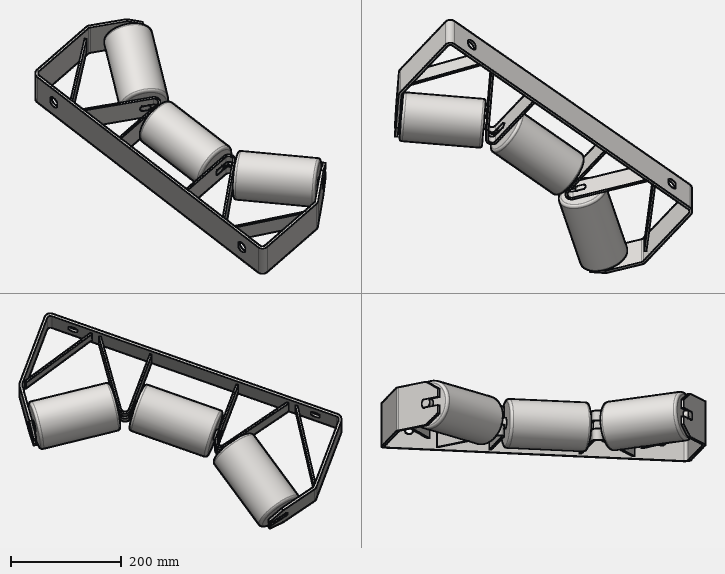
import cadquery as cq
import math

frame_width = 570.0
strap_height = 80.0
strap_thickness = 5.0
strap_bend_radius = 11.5
trough_angle = 35.0
arm_corner_y = 145.0
arm_length = 101.5
arm_chamfer_along = 29.5
arm_chamfer_height = 17.0
mount_hole_spacing = 465.5
mount_hole_length = 26.0
mount_hole_width = 17.0

plate_thickness = 4.0
bracket_bottom = 4.5
bracket_height = 54.0
bracket_leg_x = 81.0
bracket_bend_radius = 11.5
bracket_bend_y = 115.0
weld_depth = 1.0
slot_reach = 28.5
brace_height = 40.0
brace_angle = 32.6
brace_length = 150.5
brace_top_x = 277.5
brace_top_y = 131.5

roller_diameter = 89.0
roller_length = 150.0
roller_edge_radius = 5.0
spindle_diameter = 20.0
spindle_flats = 15.0
spindle_slot_width = 15.5
shoulder_gap = 0.5
middle_roller_y = 100.0
inner_axis_z = 33.0
arm_axis_from_end = 29.5

half_width = frame_width / 2
mid_height = strap_height / 2
half_bend_tangent = math.tan(math.radians(trough_angle / 2))
sine = math.sin(math.radians(trough_angle))
cosine = math.cos(math.radians(trough_angle))
x_direction = cq.Vector(1, 0, 0)
y_direction = cq.Vector(0, 1, 0)
z_direction = cq.Vector(0, 0, 1)
arm_up = cq.Vector(sine, cosine, 0)
arm_inward = cq.Vector(cosine, -sine, 0)
arm_corner = cq.Vector(-half_width, arm_corner_y, 0)
arm_end = arm_corner + arm_up * arm_length
bend_centre = cq.Vector(-bracket_leg_x - bracket_bend_radius, bracket_bend_y, 0)
slant_top = bend_centre - arm_inward * bracket_bend_radius

outer_seat = arm_end - arm_up * arm_axis_from_end + z_direction * mid_height
seat_distance = (slant_top - outer_seat).dot(arm_inward)
inner_point = outer_seat + arm_inward * seat_distance
inner_seat = cq.Vector(inner_point.x, inner_point.y, inner_axis_z)
middle_seat = cq.Vector(-bracket_leg_x, middle_roller_y, inner_axis_z)
middle_far_seat = cq.Vector(bracket_leg_x, middle_roller_y, inner_axis_z)


def flat_point(vector):
    """The X and Y of a vector, for outlines drawn in the XY plane."""
    return (vector.x, vector.y)


def mirrored_pair(left):
    """The -X side shape together with its mirror image across X = 0."""
    return left.union(left.mirror("YZ"))


def make_slot(seat, inward, up, reach):
    """Cutter for a spindle slot: rounded below the spindle, open along `up`."""
    depth = 4 * strap_thickness
    origin = seat - inward * (depth / 2)
    plane = cq.Plane(origin=origin.toTuple(), xDir=up.toTuple(), normal=inward.toTuple())
    sketch = cq.Workplane(plane)
    run = sketch.center(reach / 2, 0).rect(reach, spindle_slot_width).extrude(depth)
    round_end = cq.Workplane(plane).circle(spindle_diameter / 2).extrude(depth)
    band = cq.Workplane(plane).rect(2 * spindle_diameter, spindle_slot_width).extrude(depth)
    return run.union(round_end.intersect(band))


def strap_path(inset):
    """Sharp-cornered line of half the strap, `inset` inside its outer face."""
    return [
        (0, inset),
        (-half_width + inset, inset),
        (-half_width + inset, arm_corner_y - inset * half_bend_tangent),
        flat_point(arm_end + arm_inward * inset),
    ]


def round_bends(strap, path, radius):
    """Fillet the two bends of one face of the strap."""
    for x, y in path[1:3]:
        bend = cq.selectors.NearestToPointSelector((x, y, mid_height))
        strap = strap.edges(bend).fillet(radius)
    return strap


def make_arm_chamfers():
    """Cutters for the upper and lower corners of the arm's free end."""
    origin = arm_end - arm_inward * strap_thickness
    plane = cq.Plane(origin=origin.toTuple(), xDir=arm_up.toTuple(), normal=arm_inward.toTuple())
    cutters = cq.Workplane(plane)
    for edge, inner in (
        (0, arm_chamfer_height),
        (strap_height, strap_height - arm_chamfer_height),
    ):
        corner = (
            cq.Workplane(plane)
            .polyline([(0, edge), (-arm_chamfer_along, edge), (0, inner)])
            .close()
            .extrude(3 * strap_thickness)
        )
        cutters = cutters.add(corner)
    return cutters.combine()


def make_strap():
    outer = strap_path(0)
    inner = strap_path(strap_thickness)
    strap = cq.Workplane("XY").polyline(outer + inner[::-1]).close().extrude(strap_height)
    strap = round_bends(strap, outer, strap_bend_radius)
    strap = round_bends(strap, inner, strap_bend_radius - strap_thickness)
    strap = strap.cut(make_arm_chamfers())
    strap = strap.cut(make_slot(outer_seat, arm_inward, arm_up, 2 * arm_axis_from_end))
    return mirrored_pair(strap)


def make_bracket():
    """Bent plate with a straight leg, a slanted leg and spindle slots through its bend."""
    inner_radius = bracket_bend_radius - plate_thickness
    foot_y = strap_thickness - weld_depth
    leg_back_x = -bracket_leg_x - plate_thickness
    slant_top_inner = bend_centre - arm_inward * inner_radius
    slant_length = (slant_top_inner.y - foot_y) / cosine
    crown = y_direction
    bracket = (
        cq.Workplane("XY")
        .workplane(offset=bracket_bottom)
        .moveTo(-bracket_leg_x, foot_y)
        .lineTo(-bracket_leg_x, bracket_bend_y)
        .threePointArc(flat_point(bend_centre + crown * bracket_bend_radius), flat_point(slant_top))
        .lineTo(*flat_point(slant_top - arm_up * slant_length))
        .lineTo(*flat_point(slant_top_inner - arm_up * slant_length))
        .lineTo(*flat_point(slant_top_inner))
        .threePointArc(flat_point(bend_centre + crown * inner_radius), (leg_back_x, bracket_bend_y))
        .lineTo(leg_back_x, foot_y)
        .close()
        .extrude(bracket_height)
    )
    bracket = bracket.cut(make_slot(inner_seat, arm_inward, arm_up, slot_reach))
    return bracket.cut(make_slot(middle_seat, x_direction, y_direction, slot_reach))


def make_brace():
    """Flat diagonal plate between the side wall and the back of the strap."""
    angle = math.radians(brace_angle)
    along = cq.Vector(math.sin(angle), -math.cos(angle), 0)
    side = cq.Vector(math.cos(angle), math.sin(angle), 0) * (plate_thickness / 2)
    top = cq.Vector(-brace_top_x, brace_top_y, 0)
    bottom = top + along * brace_length
    corners = [top - side, top + side, bottom + side, bottom - side]
    return (
        cq.Workplane("XY")
        .workplane(offset=mid_height - brace_height / 2)
        .polyline([flat_point(corner) for corner in corners])
        .close()
        .extrude(brace_height)
    )


def make_mount_holes():
    half_spacing = mount_hole_spacing / 2
    return (
        cq.Workplane("XZ")
        .pushPoints([(-half_spacing, mid_height), (half_spacing, mid_height)])
        .slot2D(mount_hole_length, mount_hole_width, 90)
        .extrude(-strap_thickness)
    )


def make_frame():
    """Strap, brackets and braces welded into one body."""
    frame = make_strap()
    frame = frame.union(mirrored_pair(make_bracket()))
    frame = frame.union(mirrored_pair(make_brace()))
    return frame.cut(make_mount_holes())


def make_roller(start, end, start_plate, end_plate):
    """Roller between two plate faces; its flatted spindle ends pass through the plates."""
    axis = end - start
    span = axis.Length
    flat_normal = axis.cross(z_direction).cross(axis)
    plane = cq.Plane(origin=start.toTuple(), xDir=flat_normal.toTuple(), normal=axis.toTuple())
    sketch = cq.Workplane(plane)
    shell = (
        sketch.workplane(offset=(span - roller_length) / 2)
        .circle(roller_diameter / 2)
        .extrude(roller_length)
        .faces("%Plane")
        .edges()
        .fillet(roller_edge_radius)
    )
    journal = (
        sketch.workplane(offset=shoulder_gap)
        .circle(spindle_diameter / 2)
        .extrude(span - 2 * shoulder_gap)
    )
    spindle_length = span + start_plate + end_plate
    spindle_start = sketch.workplane(offset=-start_plate)
    spindle = spindle_start.circle(spindle_diameter / 2).extrude(spindle_length)
    flats = (
        sketch.workplane(offset=-start_plate)
        .rect(spindle_flats, 2 * spindle_diameter)
        .extrude(spindle_length)
    )
    return shell.union(journal).union(spindle.intersect(flats))


frame = make_frame()
middle_roller = make_roller(middle_seat, middle_far_seat, plate_thickness, plate_thickness)
arm_inner_face = outer_seat + arm_inward * strap_thickness
left_roller = make_roller(arm_inner_face, inner_seat, strap_thickness, plate_thickness)
right_roller = left_roller.mirror("YZ")

result = cq.Compound.makeCompound(
    [frame.val(), middle_roller.val(), left_roller.val(), right_roller.val()]
)